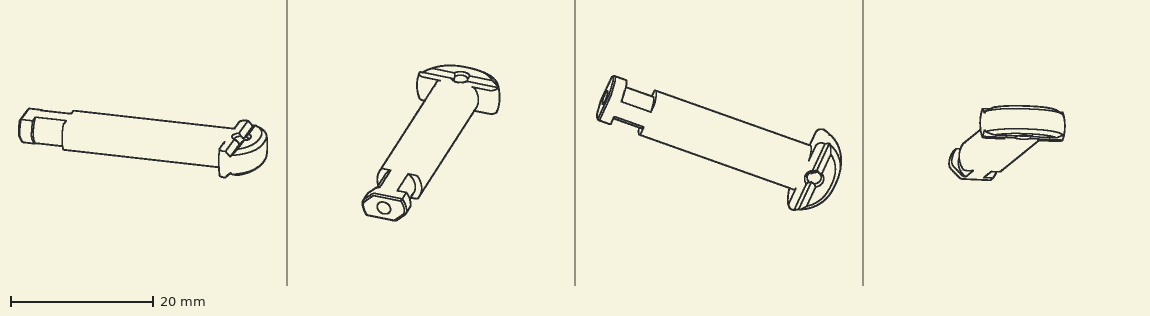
import cadquery as cq
import math

length = 35.0
thickness = 4.0
half_thickness = thickness / 2

shaft_radius = 3.32
shaft_edge_fillet = 0.52

tip_length = 1.95
neck_end = 6.45
neck_radius = 2.38
tip_chamfer = 0.25
tip_flat_distance = 2.6
tip_inner_fillet = 0.85
tip_outer_fillet = 1.05

centre_hole_diameter = 2.0
centre_hole_angle = 90.0

head_start = 29.95
head_length = length - head_start
head_radius = 6.12
head_back_fillet = 0.85
head_rim_chamfer = 0.55

groove_x = 31.75
groove_half_width = 0.7
groove_depth = 0.75
cross_hole_diameter = 2.0
cross_hole_chamfer = 0.35


def flattened_bar(radius, start, end):
    """Round bar along X, cut flat at the pin's top and bottom."""
    bar_length = end - start
    bar = cq.Workplane("YZ", origin=(start, 0, 0)).circle(radius).extrude(bar_length)
    slab = cq.Workplane("XY").box(2 * length, 2 * radius, thickness)
    return bar.intersect(slab)


def make_shaft():
    shaft = flattened_bar(shaft_radius, neck_end, groove_x - groove_half_width)
    return shaft.edges("|X").fillet(shaft_edge_fillet)


def make_tip():
    """Flattened bar with two opposite corners cut at 45 degrees for the half-turn lock."""
    tip = flattened_bar(shaft_radius, 0, tip_length)
    for angle in (45, 225):
        cutter = (
            cq.Workplane("XY")
            .box(tip_length, shaft_radius, 4 * shaft_radius, centered=(False, False, True))
            .translate((0, tip_flat_distance, 0))
            .rotate((0, 0, 0), (1, 0, 0), angle)
        )
        tip = tip.cut(cutter)

    flat_edge_y = tip_flat_distance * math.sqrt(2) - half_thickness

    def edge_at(y, z):
        return cq.selectors.NearestToPointSelector((tip_length / 2, y, z))

    side_angle = math.radians(45) - math.acos(tip_flat_distance / shaft_radius)
    side_y = shaft_radius * math.cos(side_angle)
    side_z = shaft_radius * math.sin(side_angle)
    for side in (1, -1):
        tip = tip.edges(edge_at(side * flat_edge_y, side * half_thickness)).fillet(tip_inner_fillet)
        tip = tip.edges(edge_at(side * side_y, side * side_z)).fillet(tip_outer_fillet)
    return tip.faces("<X").chamfer(tip_chamfer)


def make_centre_hole():
    radius = centre_hole_diameter / 2
    depth = radius / math.tan(math.radians(centre_hole_angle / 2))
    half_section = cq.Workplane("XY").polyline([(0, 0), (0, radius), (depth, 0)]).close()
    return half_section.revolve(360, (0, 0, 0), (1, 0, 0))


def make_head_blank():
    """Mushroom head with a small end flat, a large dome arc and a rounded back edge."""
    fillet_x = head_start + head_back_fillet
    fillet_y = head_radius - head_back_fillet
    dome_radius = head_length
    centre_distance = dome_radius - head_back_fillet
    dome_y = fillet_y - math.sqrt(centre_distance**2 - head_back_fillet**2)
    join_angle = math.asin((fillet_y - dome_y) / centre_distance)

    def on_arc(x, y, radius, angle):
        return (x + radius * math.cos(angle), y + radius * math.sin(angle))

    profile = (
        cq.Workplane("XY")
        .moveTo(head_start, 0)
        .lineTo(head_start, fillet_y)
        .threePointArc(
            on_arc(fillet_x, fillet_y, head_back_fillet, (join_angle + math.pi) / 2),
            on_arc(head_start, dome_y, dome_radius, join_angle),
        )
        .threePointArc(
            on_arc(head_start, dome_y, dome_radius, join_angle / 2),
            (length, dome_y),
        )
        .lineTo(length, 0)
        .close()
    )
    head = profile.revolve(360, (0, 0, 0), (1, 0, 0))
    return head.intersect(cq.Workplane("XY").box(3 * length, 3 * head_radius, thickness))


def make_groove(side):
    face = side * half_thickness
    return (
        cq.Workplane("XZ")
        .polyline([
            (groove_x - groove_half_width, face),
            (groove_x + groove_half_width, face),
            (groove_x, face - side * groove_depth),
        ])
        .close()
        .extrude(2 * head_radius, both=True)
    )


def make_head():
    """Grooved head; the rim is chamfered only on the dome side of the grooves."""
    blank = make_head_blank()
    front_block = (
        cq.Workplane("XY")
        .box(head_length, 3 * head_radius, 2 * thickness, centered=(False, True, True))
        .translate((groove_x, 0, 0))
    )
    head_back = blank.cut(front_block)
    head_front = blank.intersect(front_block)
    for face in (">Z", "<Z"):
        curved_rim = head_front.faces(face).edges("not(|Y)")
        head_front = curved_rim.chamfer(head_rim_chamfer)

    head = head_back.union(head_front)
    for side in (1, -1):
        head = head.cut(make_groove(side))
    return head


def make_cross_hole():
    """Through hole along Z, chamfered at both faces."""
    radius = cross_hole_diameter / 2
    mouth_radius = radius + cross_hole_chamfer
    hole = cq.Workplane("XY").circle(radius).extrude(thickness, both=True)
    for side in (1, -1):
        mouth = (
            cq.Workplane("XZ")
            .polyline([
                (0, side * half_thickness),
                (mouth_radius, side * half_thickness),
                (0, side * (half_thickness - mouth_radius)),
            ])
            .close()
            .revolve(360, (0, 0, 0), (0, 1, 0))
        )
        hole = hole.union(mouth)
    return hole.translate((groove_x, 0, 0))


neck = flattened_bar(neck_radius, tip_length, neck_end)
result = make_tip().union(neck).union(make_shaft()).union(make_head())
result = result.cut(make_centre_hole()).cut(make_cross_hole())